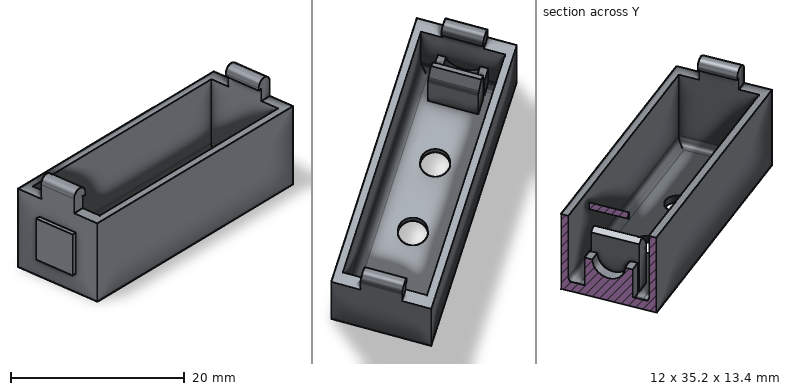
import cadquery as cq
import math

box_width = 12.0
box_length = 34.65
box_height = 10.5
total_height = 13.4
side_wall = 0.95
end_wall = 1.5
floor_thickness = 1.0
floor_fillet = 1.05

hole_diameter = 3.5
hole_spacing = 9.0

pad_size = 5.5
pad_thickness = 35.2 - box_length
mid_height = box_height / 2

hook_width = 5.0
hook_radius = 1.0
hook_lip_height = 12.07

cradle_width = 6.05
cradle_depth = 1.62
trough_diameter = 4.1
gap_length = 0.42
ridge_height = 8.05
barb_front_length = 0.75
barb_front_angle = 33
barb_back_length = 1.0
barb_back_angle = 47
barb_nose_radius = 1.05


def make_box():
    """Rectangular tray with a rounded floor edge."""
    cavity = (
        cq.Workplane("XY", origin=(0, box_length / 2, floor_thickness))
        .rect(box_width - 2 * side_wall, box_length - 2 * end_wall)
        .extrude(box_height - floor_thickness)
        .faces("<Z").edges().fillet(floor_fillet)
    )
    outer = cq.Workplane("XY", origin=(0, box_length / 2, 0)).rect(box_width, box_length).extrude(box_height)
    return outer.cut(cavity)


def extrude_across(profile, width):
    """Extrude a YZ profile symmetrically about X = 0."""
    return profile.extrude(width / 2, both=True)


def make_hook():
    """Round-headed hook on the -Y wall, with its lip overhanging the cavity."""
    shoulder_height = total_height - hook_radius
    profile = (
        cq.Workplane("YZ")
        .moveTo(0, mid_height)
        .lineTo(0, shoulder_height)
        .threePointArc((hook_radius, total_height), (2 * hook_radius, shoulder_height))
        .lineTo(2 * hook_radius, hook_lip_height)
        .lineTo(end_wall, hook_lip_height)
        .lineTo(end_wall, mid_height)
        .close()
    )
    return extrude_across(profile, hook_width)


def make_cradle():
    """Half-round trough followed by a gap and a snap finger with a ridged barb."""
    cradle_end = end_wall + cradle_depth
    finger_start = cradle_end + gap_length
    ridge_y = finger_start + barb_front_length
    ramp_foot_z = ridge_height - barb_front_length * math.tan(math.radians(barb_front_angle))
    nose_y = ridge_y + barb_back_length
    slope = math.radians(barb_back_angle)
    nose_z = ridge_height - barb_back_length * math.tan(slope)

    center_y = nose_y - barb_nose_radius * math.sin(slope)
    center_z = nose_z - barb_nose_radius * math.cos(slope)
    tip_y = center_y + barb_nose_radius
    middle_angle = (math.pi / 2 - slope) / 2
    arc_middle = (
        center_y + barb_nose_radius * math.cos(middle_angle),
        center_z + barb_nose_radius * math.sin(middle_angle),
    )
    floor_overlap = floor_thickness / 2
    wall_overlap = end_wall / 2
    profile = (
        cq.Workplane("YZ")
        .moveTo(wall_overlap, floor_overlap)
        .lineTo(wall_overlap, mid_height)
        .lineTo(cradle_end, mid_height)
        .lineTo(cradle_end, floor_thickness)
        .lineTo(finger_start, floor_thickness)
        .lineTo(finger_start, ramp_foot_z)
        .lineTo(ridge_y, ridge_height)
        .lineTo(nose_y, nose_z)
        .threePointArc(arc_middle, (tip_y, center_z))
        .lineTo(tip_y, floor_overlap)
        .close()
    )
    trough = (
        cq.Workplane("XZ", origin=(0, end_wall, mid_height))
        .circle(trough_diameter / 2)
        .extrude(-cradle_depth)
    )
    return extrude_across(profile, cradle_width).cut(trough)


hook = make_hook()
far_hook = hook.mirror("XZ").translate((0, box_length, 0))
pad = cq.Workplane("XZ", origin=(0, 0, mid_height)).rect(pad_size, pad_size).extrude(pad_thickness)
floor_holes = (
    cq.Workplane("XY", origin=(0, box_length / 2, 0))
    .rarray(0.35, hole_spacing, 1, 2)
    .circle(hole_diameter / 2)
    .extrude(floor_thickness)
)

result = make_box().union(hook).union(far_hook).union(pad).union(make_cradle()).cut(floor_holes)